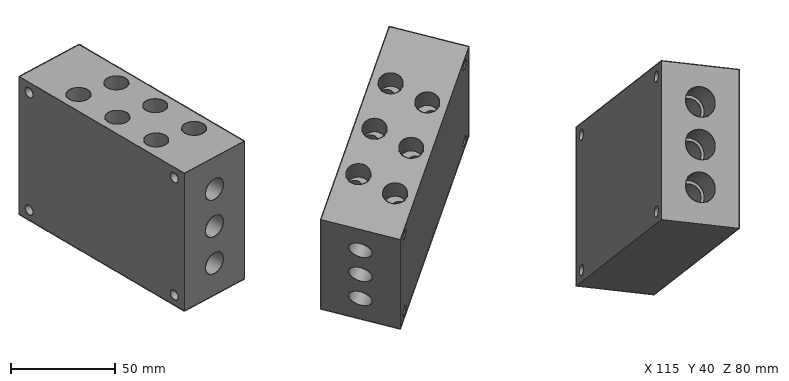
import cadquery as cq
import math

LENGTH = 115.0
WIDTH = 40.0
HEIGHT = 80.0

MOUNT_DIAMETER = 5.5
MOUNT_EDGE_X = 7.0
MOUNT_EDGE_Z = 6.0

BORE_COUNT = 3
BORE_PITCH = 21.5
BORE_DIAMETER = 12.0
BORE_PORT_DIAMETER = 15.3
BORE_PORT_DEPTH = 15.0

PORT_COUNT = 3
PORT_PITCH = 27.0
PORT_DIAMETER = 12.0
PORT_DEPTH = 12.0
PORT_ROW_Y = 10.0
FRONT_ROW_X = 0.5
REAR_ROW_X = 5.9
DRILL_DIAMETER = 7.0
DRILL_ROW_Y = 12.0
DRILL_DEPTH = 63.2
DRILL_POINT_ANGLE = 118.0


def row_offsets(count, pitch):
    """Evenly spaced positions centred on zero."""
    return [(i - (count - 1) / 2) * pitch for i in range(count)]


def mounting_holes():
    return (
        cq.Workplane("XZ", origin=(0, WIDTH / 2, 0))
        .rect(LENGTH - 2 * MOUNT_EDGE_X, HEIGHT - 2 * MOUNT_EDGE_Z, forConstruction=True)
        .vertices()
        .circle(MOUNT_DIAMETER / 2)
        .extrude(WIDTH)
    )


def main_bore(z):
    end = cq.Workplane("YZ", origin=(-LENGTH / 2, 0, z))
    bore = end.circle(BORE_DIAMETER / 2).extrude(LENGTH)
    port = end.circle(BORE_PORT_DIAMETER / 2).extrude(BORE_PORT_DEPTH)
    return bore.union(port)


def top_port(x, side):
    """Flat-bottomed port with a cone-pointed drilling; side is -1 for -Y or +1 for +Y."""
    top = HEIGHT / 2
    port = (
        cq.Workplane("XY", origin=(x, side * PORT_ROW_Y, top))
        .circle(PORT_DIAMETER / 2)
        .extrude(-PORT_DEPTH)
    )
    radius = DRILL_DIAMETER / 2
    point_length = radius / math.tan(math.radians(DRILL_POINT_ANGLE / 2))
    drilling = (
        cq.Workplane("XZ", origin=(x, side * DRILL_ROW_Y, top))
        .polyline([(0, 0), (radius, 0), (radius, -DRILL_DEPTH), (0, -DRILL_DEPTH - point_length)])
        .close()
        .revolve(360, (0, 0), (0, 1))
    )
    return port.union(drilling)


result = cq.Workplane("XY").box(LENGTH, WIDTH, HEIGHT).cut(mounting_holes())

for bore_z in row_offsets(BORE_COUNT, BORE_PITCH):
    result = result.cut(main_bore(bore_z))

for row_x, row_side in ((FRONT_ROW_X, -1), (REAR_ROW_X, 1)):
    for port_x in row_offsets(PORT_COUNT, PORT_PITCH):
        result = result.cut(top_port(row_x + port_x, row_side))